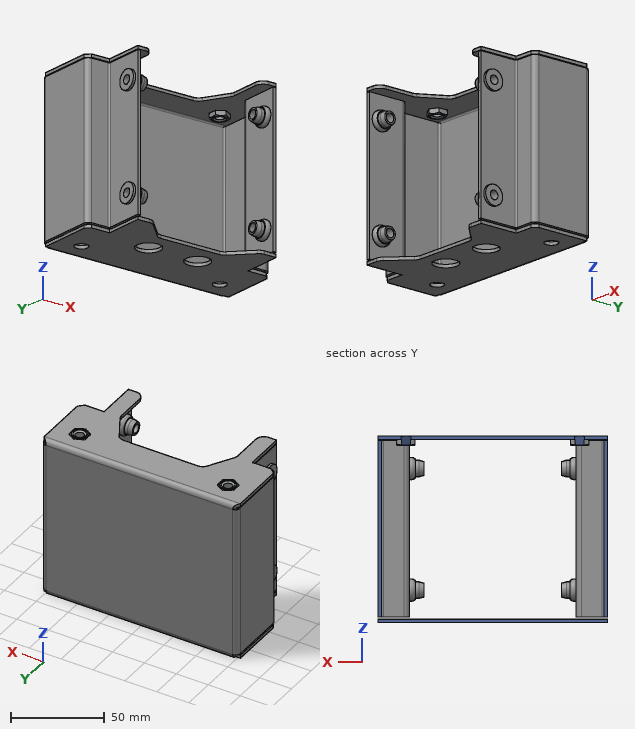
import cadquery as cq
import math

WIDTH = 123.0
DEPTH = 65.0
HEIGHT = 100.0
SHEET = 2.0
BEND_INNER = 1.02
SHOULDER_DEPTH = 40.0
FRONT_HALF_WIDTH = 46.5
TOP_GAP = 0.5

ARM_WIDTH = 10.0
ARM_FILLET = 5.0
TOP_NOTCH_BACK = 22.0
TOP_NOTCH_SIDE = SHOULDER_DEPTH
TOP_NOTCH_ANGLE = 60.0
BASE_NOTCH_BACK = 50.0

CABLE_HOLE_D = 15.0
CABLE_HOLE_X = 16.5
CABLE_HOLE_DEPTH = 35.0
ACCESS_HOLE_D = 8.0

NUT_X = FRONT_HALF_WIDTH
NUT_SIDES = 6
NUT_DEPTH = 15.0
NUT_FLATS = 10.0
NUT_THICK = 5.0
NUT_BORE_D = 5.0
NUT_SINK_D = 7.5
NUT_FACE_D = 9.1
NUT_SLOPE = 30.0

BUSHING_D = 12.0
BUSHING_BORE_D = 5.3
BUSHING_HEAD = 1.5
BUSHING_DOME = 3.1
BUSHING_CREST = 1.0
BUSHING_FOOT_D = 11.8
BUSHING_CROWN_D = 10.1
BUSHING_COLLAR_D = 9.0
BUSHING_COLLAR = 2.0
BUSHING_TIP_D = 7.5
BUSHING_TIP = 2.7
BUSHING_FRONT = 8.0
BUSHING_END = 17.5

BEND_OUTER = BEND_INNER + SHEET
CORNER_CUT = BEND_OUTER
HALF_WIDTH = WIDTH / 2
ARM_INNER = FRONT_HALF_WIDTH - ARM_WIDTH
TOP_PLATE_Z = HEIGHT - SHEET
NUT_CORNERS_D = NUT_FLATS / math.cos(math.pi / NUT_SIDES)
BUSHING_Y = -DEPTH + BUSHING_FRONT
BUSHING_HEIGHTS = (BUSHING_END, HEIGHT - BUSHING_END)
SIDES = (-1, 1)


def make_hexagon(side, bottom, height):
    """Upright hexagonal prism on a nut axis, with flats facing +X and -X."""
    hexagon = cq.Workplane("XY").polygon(NUT_SIDES, NUT_CORNERS_D).extrude(height)
    return hexagon.rotate((0, 0, 0), (0, 0, 1), 90).translate((side * NUT_X, -NUT_DEPTH, bottom))


def make_walls():
    """Back wall, stepped side walls and their upright bends."""
    wall_top = TOP_PLATE_Z - TOP_GAP
    outline = [
        (-HALF_WIDTH, 0),
        (HALF_WIDTH, 0),
        (HALF_WIDTH, -SHOULDER_DEPTH),
        (FRONT_HALF_WIDTH, -SHOULDER_DEPTH),
        (FRONT_HALF_WIDTH, -DEPTH),
        (-FRONT_HALF_WIDTH, -DEPTH),
        (-FRONT_HALF_WIDTH, -SHOULDER_DEPTH),
        (-HALF_WIDTH, -SHOULDER_DEPTH),
    ]
    walls = cq.Workplane("XY", origin=(0, 0, BEND_OUTER)).polyline(outline).close()
    walls = walls.extrude(wall_top - BEND_OUTER)
    walls = walls.edges("|Z and (<X or >X)").fillet(BEND_OUTER)
    inside_corners = cq.selectors.BoxSelector(
        (-FRONT_HALF_WIDTH - SHEET, -SHOULDER_DEPTH - SHEET, 0),
        (FRONT_HALF_WIDTH + SHEET, -SHOULDER_DEPTH + SHEET, HEIGHT),
    )
    walls = walls.edges("|Z").edges(inside_corners).fillet(BEND_INNER)
    walls = walls.faces("<Y or <Z or >Z").shell(-SHEET)

    bend_room = cq.Workplane("XY", origin=(0, 0, HEIGHT - BEND_OUTER))
    bend_room = bend_room.rect(WIDTH, 2 * SHEET).extrude(BEND_OUTER)
    return walls.cut(bend_room)


def make_plate(notch_half):
    """Flat plate from z = 0 to SHEET.

    notch_half is the right half of the front notch, from the end of the arm inward.
    """
    right_half = [
        (HALF_WIDTH, -BEND_OUTER),
        (HALF_WIDTH, -SHOULDER_DEPTH + CORNER_CUT),
        (HALF_WIDTH - CORNER_CUT, -SHOULDER_DEPTH),
        (FRONT_HALF_WIDTH, -SHOULDER_DEPTH),
        (FRONT_HALF_WIDTH, -DEPTH),
    ] + notch_half
    left_half = [(-x, y) for x, y in reversed(right_half)]
    plate = cq.Workplane("XY").polyline(right_half + left_half).close().extrude(SHEET)
    for x, y in notch_half:
        for side in SIDES:
            corner = cq.selectors.NearestToPointSelector((side * x, y, SHEET / 2))
            plate = plate.edges("|Z").edges(corner).fillet(ARM_FILLET)
    return plate


def make_plate_bend(length):
    """Quarter-round bend joining a plate on z = 0 to the back wall above it."""
    ring = cq.Workplane("YZ", origin=(-length / 2, -BEND_OUTER, BEND_OUTER))
    ring = ring.circle(BEND_OUTER).circle(BEND_INNER).extrude(length)
    quarter = cq.Workplane("XY").box(length, BEND_OUTER, BEND_OUTER, centered=(True, False, False))
    return ring.intersect(quarter.translate((0, -BEND_OUTER, 0)))


def make_base():
    notch_half = [
        (ARM_INNER, -DEPTH),
        (ARM_INNER - (DEPTH - BASE_NOTCH_BACK), -BASE_NOTCH_BACK),
    ]
    base = make_plate(notch_half).union(make_plate_bend(WIDTH - 2 * BEND_OUTER))
    for half_spacing, depth, diameter in (
        (CABLE_HOLE_X, CABLE_HOLE_DEPTH, CABLE_HOLE_D),
        (NUT_X, NUT_DEPTH, ACCESS_HOLE_D),
    ):
        centers = [(side * half_spacing, -depth) for side in SIDES]
        base = base.cut(cq.Workplane("XY").pushPoints(centers).circle(diameter / 2).extrude(SHEET))
    return base


def make_top():
    notch_slant = (TOP_NOTCH_SIDE - TOP_NOTCH_BACK) / math.tan(math.radians(TOP_NOTCH_ANGLE))
    notch_half = [
        (ARM_INNER, -DEPTH),
        (ARM_INNER, -TOP_NOTCH_SIDE),
        (ARM_INNER - notch_slant, -TOP_NOTCH_BACK),
    ]
    bend = make_plate_bend(WIDTH)

    cut_outline = [
        (-HALF_WIDTH, -BEND_OUTER),
        (HALF_WIDTH, -BEND_OUTER),
        (HALF_WIDTH - CORNER_CUT, 0),
        (-HALF_WIDTH + CORNER_CUT, 0),
    ]
    bend = bend.intersect(cq.Workplane("XY").polyline(cut_outline).close().extrude(BEND_OUTER))
    top = make_plate(notch_half).union(bend)
    top = top.mirror("XY").translate((0, 0, HEIGHT))
    for side in SIDES:
        top = top.cut(make_hexagon(side, TOP_PLATE_Z, SHEET))
    return top


def make_housing():
    housing = make_walls().union(make_base()).union(make_top())
    bushing_holes = cq.Workplane("YZ", origin=(-HALF_WIDTH, 0, 0))
    bushing_holes = bushing_holes.pushPoints([(BUSHING_Y, z) for z in BUSHING_HEIGHTS])
    bushing_holes = bushing_holes.circle(BUSHING_COLLAR_D / 2).extrude(WIDTH)
    return housing.cut(bushing_holes)


def make_nut(side):
    slope = math.tan(math.radians(NUT_SLOPE))
    chamfer_drop = slope * (NUT_CORNERS_D - NUT_FACE_D) / 2
    sink_depth = slope * (NUT_SINK_D - NUT_BORE_D) / 2
    section = [
        (NUT_SINK_D / 2, 0),
        (NUT_FACE_D / 2, 0),
        (NUT_CORNERS_D / 2, chamfer_drop),
        (NUT_CORNERS_D / 2, NUT_THICK - chamfer_drop),
        (NUT_FACE_D / 2, NUT_THICK),
        (NUT_SINK_D / 2, NUT_THICK),
        (NUT_BORE_D / 2, NUT_THICK - sink_depth),
        (NUT_BORE_D / 2, sink_depth),
    ]
    bottom = HEIGHT - NUT_THICK
    turned = cq.Workplane("XZ").polyline(section).close().revolve(360, (0, 0, 0), (0, 1, 0))
    turned = turned.translate((side * NUT_X, -NUT_DEPTH, bottom))
    return turned.intersect(make_hexagon(side, bottom, NUT_THICK))


def make_bushing(side, height):
    dome_end = SHEET + BUSHING_DOME
    collar_end = dome_end + BUSHING_COLLAR
    tip_end = collar_end + BUSHING_TIP
    rim = BUSHING_D / 2
    collar = BUSHING_COLLAR_D / 2
    section = (
        cq.Workplane("XY")
        .moveTo(-BUSHING_HEAD, BUSHING_BORE_D / 2)
        .lineTo(-BUSHING_HEAD, rim)
        .lineTo(0, rim)
        .lineTo(0, collar)
        .lineTo(SHEET, collar)
        .lineTo(SHEET, BUSHING_FOOT_D / 2)
        .threePointArc((SHEET + BUSHING_CREST, rim), (dome_end, BUSHING_CROWN_D / 2))
        .lineTo(dome_end, collar)
        .lineTo(collar_end, collar)
        .lineTo(tip_end, BUSHING_TIP_D / 2)
        .lineTo(tip_end, BUSHING_BORE_D / 2)
        .close()
    )
    bushing = section.revolve(360, (0, 0, 0), (1, 0, 0))
    if side > 0:
        bushing = bushing.mirror("YZ")
    return bushing.translate((side * FRONT_HALF_WIDTH, BUSHING_Y, height))


housing = make_housing()
nuts = [make_nut(side) for side in SIDES]
bushings = [make_bushing(side, height) for side in SIDES for height in BUSHING_HEIGHTS]

result = cq.Compound.makeCompound([body.val() for body in [housing, *nuts, *bushings]])